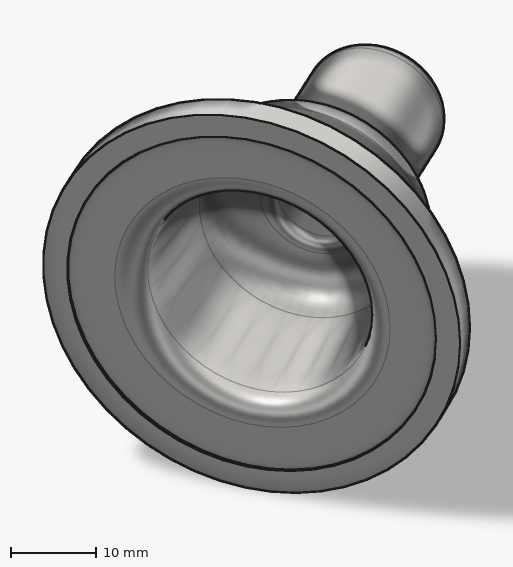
import cadquery as cq
import math

total_length = 47.0
flange_radius = 25.85
flange_thickness = 3.55
recess_radius = 22.85
recess_depth = 0.3

wall_thickness = 3.0
draft = math.radians(5)
bell_base_radius = 17.05
bell_top = 26.1
bell_dome_center_radius = 7.6

stem_radius = 8.55
stem_end_fillet = 3.0
bore_radius = stem_radius - wall_thickness
bore_lip_fillet = 1.5
mouth_fillet = 3.1
cavity_top = bell_top - wall_thickness


def drafted_radius(start_radius, start_y, y):
    """Radius of a drafted wall at height y, narrowing away from the flange."""
    return start_radius - (y - start_y) * math.tan(draft)


def dome_radius(apex_wall_radius, center_radius):
    """Radius of the arc tangent to the drafted wall and to the flat above it."""
    return (apex_wall_radius - center_radius) * math.cos(draft) / (1 - math.sin(draft))


def arc_point(center, radius, angle):
    return (center[0] + radius * math.cos(angle), center[1] + radius * math.sin(angle))


def add_dome(profile, center_radius, top, radius):
    """Draw the drafted wall up to the dome, then the dome arc to its top."""
    center = (center_radius, top - radius)
    middle_angle = (draft + math.pi / 2) / 2
    seam = arc_point(center, radius, draft)
    middle = arc_point(center, radius, middle_angle)
    return profile.lineTo(*seam).threePointArc(middle, (center_radius, top))


def revolve_about_y(profile):
    return profile.close().revolve(360, (0, 0, 0), (0, 1, 0))


def cylinder(radius, start_y, end_y):
    profile = cq.Workplane("XY").moveTo(0, start_y).lineTo(radius, start_y)
    return revolve_about_y(profile.lineTo(radius, end_y).lineTo(0, end_y))


def make_bell():
    apex_radius = drafted_radius(bell_base_radius, flange_thickness, bell_top)
    radius = dome_radius(apex_radius, bell_dome_center_radius)
    profile = cq.Workplane("XY").moveTo(0, flange_thickness).lineTo(bell_base_radius, flange_thickness)
    profile = add_dome(profile, bell_dome_center_radius, bell_top, radius)
    return revolve_about_y(profile.lineTo(0, bell_top))


def make_cavity():
    """Rounded mouth, drafted wall, dome and rounded lip leading into the bore."""
    mouth_center = (bell_base_radius, recess_depth + mouth_fillet)
    mouth_middle = arc_point(mouth_center, mouth_fillet, math.pi + (draft + math.pi / 2) / 2)
    mouth_end = arc_point(mouth_center, mouth_fillet, math.pi + draft)

    lip_edge_radius = bore_radius + bore_lip_fillet
    lip_center = (lip_edge_radius, cavity_top + bore_lip_fillet)
    lip_middle = arc_point(lip_center, bore_lip_fillet, math.radians(225))
    apex_radius = drafted_radius(*mouth_end, cavity_top)

    profile = cq.Workplane("XY").moveTo(0, recess_depth).lineTo(bell_base_radius, recess_depth)
    profile = profile.threePointArc(mouth_middle, mouth_end)
    profile = add_dome(profile, lip_edge_radius, cavity_top, dome_radius(apex_radius, lip_edge_radius))
    profile = profile.threePointArc(lip_middle, (bore_radius, lip_center[1]))
    return revolve_about_y(profile.lineTo(bore_radius, total_length).lineTo(0, total_length))


flange = cylinder(flange_radius, 0, flange_thickness)
recess = cylinder(recess_radius, 0, recess_depth)
stem = cylinder(stem_radius, cavity_top, total_length).edges(">Y").fillet(stem_end_fillet)

result = flange.union(make_bell()).union(stem).cut(recess).cut(make_cavity())